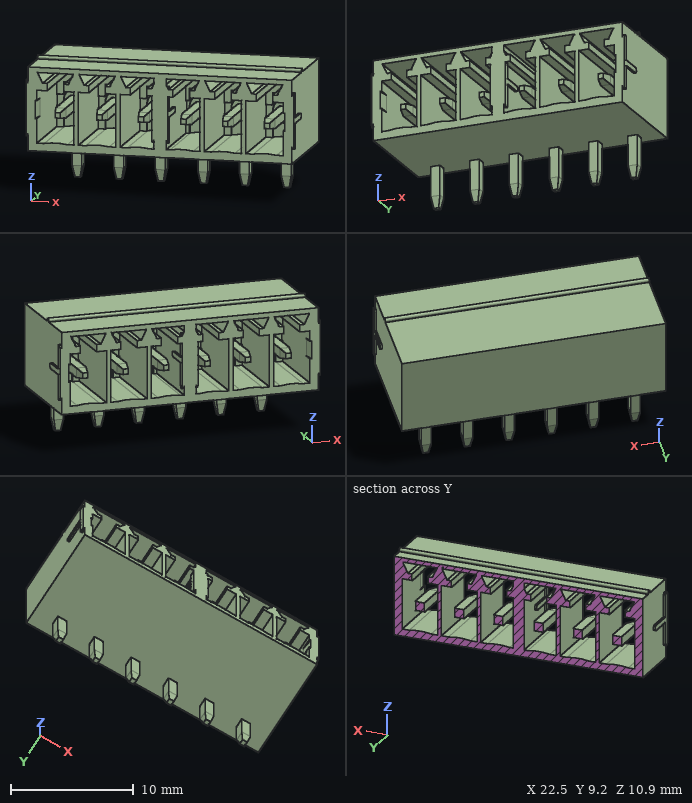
import cadquery as cq

total_width = 22.5
key_height = 0.15
module_spacing = 10.58
module_width = total_width - 2 * key_height - module_spacing
depth = 9.2
height = 7.0
module_centres = (-module_spacing / 2, module_spacing / 2)

poles = 3
pole_span = 7.0
pitch = pole_span / (poles - 1)
pole_offsets = [pitch * (i - (poles - 1) / 2) for i in range(poles)]
contact_z = 2.9

cavity_width = 3.13
cavity_depth = 6.75
floor_z = 0.68
shoulder_z = 5.08
neck_width = 1.4
dovetail_z = 5.7
dovetail_bottom_width = 2.14
dovetail_top_width = 3.02
ceiling_z = 6.57
floor_rise = 0.1

collar_diameter = 2.0
strip_width = 1.95
recess_depth = 0.22
recess_top_z = 4.4
arm_height = 0.97
cross_fillet = 0.1
collar_height = recess_depth / 2

lead_in_bottom_z = 2.72
lead_in_height = 1.48
lead_in_depth = 0.14
lead_in_length = 0.97

key_width = 0.47
key_centre_z = 3.55
key_bar_length = 4.72
key_stem_reach = 2.52

ridge_width = 0.35
ridge_height = 0.3
ridge_y = 3.42

pin_size = 0.83
pin_tip_size = 0.45
pin_taper_length = 1.01
pin_length_below = 3.6
pin_leg_inset = 1.45
pin_leg_y = depth - pin_leg_inset
pin_front_y = 0.83


def box(x0, x1, y0, y1, z0, z1):
    """Box between two corners."""
    return cq.Workplane("XY").box(x1 - x0, y1 - y0, z1 - z0, centered=False).translate((x0, y0, z0))


def facing_front(y):
    """Sketch plane at depth y, in X and Z; positive extrusions go toward the front."""
    return cq.Workplane("XZ", origin=(0, y, 0))


def arched_floor(y0, y1):
    """Shallow crowned strip that lies on the cavity floor."""
    half = strip_width / 2
    return (
        facing_front(y0)
        .moveTo(-half, floor_z)
        .threePointArc((0, floor_z + floor_rise), (half, floor_z))
        .lineTo(half, 0)
        .lineTo(-half, 0)
        .close()
        .extrude(y0 - y1)
    )


def make_cross(recess_y):
    """Cross-shaped recess with rounded inner corners."""
    half_strip = strip_width / 2
    arm_bottom_z = contact_z - arm_height / 2
    arm_top_z = contact_z + arm_height / 2
    upright = box(-half_strip, half_strip, cavity_depth, recess_y, floor_z, recess_top_z)
    arms = box(-cavity_width / 2, cavity_width / 2, cavity_depth, recess_y, arm_bottom_z, arm_top_z)
    margin = 0.02
    inner_corners = cq.selectors.BoxSelector(
        (-half_strip - margin, cavity_depth, arm_bottom_z - margin),
        (half_strip + margin, recess_y, arm_top_z + margin),
    )
    return upright.union(arms).edges("|Y").edges(inner_corners).fillet(cross_fillet)


def make_cavity():
    """Empty space of one pole, centred on X = 0."""
    half_outline = [
        (cavity_width / 2, floor_z),
        (cavity_width / 2, shoulder_z),
        (neck_width / 2, shoulder_z),
        (neck_width / 2, dovetail_z),
        (dovetail_bottom_width / 2, dovetail_z),
        (dovetail_top_width / 2, ceiling_z),
    ]
    mirrored = [(-x, z) for x, z in reversed(half_outline)]
    cavity = facing_front(0).polyline(half_outline + mirrored).close().extrude(-cavity_depth)

    recess_y = cavity_depth + recess_depth
    collar = (
        facing_front(recess_y)
        .center(0, contact_z)
        .circle(collar_diameter / 2)
        .extrude(collar_height)
    )
    return cavity.union(make_cross(recess_y)).cut(collar).cut(arched_floor(0, recess_y))


def make_lead_ins():
    """Wedges that widen the two outer cavities of a module at the front."""
    wall_x = pole_span / 2 + cavity_width / 2
    wedge = (
        cq.Workplane("XY", origin=(0, 0, lead_in_bottom_z))
        .polyline([(wall_x, 0), (wall_x + lead_in_depth, 0), (wall_x, lead_in_length)])
        .close()
        .extrude(lead_in_height)
    )
    return wedge.union(wedge.mirror("YZ"))


def make_keys():
    """T-shaped keys on both sides of a module, flush with the front face."""
    key_span = module_width + 2 * key_height
    side = cq.Workplane("YZ", origin=(-key_span / 2, 0, key_centre_z))
    bar = side.center(key_width / 2, 0).slot2D(key_bar_length, key_width, 90).extrude(key_span)
    stem = side.center(key_stem_reach / 2, 0).slot2D(key_stem_reach, key_width).extrude(key_span)
    return bar.union(stem)


def make_ridge():
    """Round-topped ridge across the top of a module."""
    radius = ridge_width / 2
    spring_z = height + ridge_height - radius
    return (
        cq.Workplane("YZ", origin=(-module_width / 2, 0, 0))
        .moveTo(ridge_y - radius, height)
        .lineTo(ridge_y - radius, spring_z)
        .threePointArc((ridge_y, height + ridge_height), (ridge_y + radius, spring_z))
        .lineTo(ridge_y + radius, height)
        .close()
        .extrude(module_width)
    )


def square_bar(length):
    """Square bar up the Z axis from a tapered tip at Z = 0."""
    tip = (
        cq.Workplane("XY")
        .rect(pin_tip_size, pin_tip_size)
        .workplane(offset=pin_taper_length)
        .rect(pin_size, pin_size)
        .loft(ruled=True)
    )
    shank = (
        cq.Workplane("XY", origin=(0, 0, pin_taper_length))
        .rect(pin_size, pin_size)
        .extrude(length - pin_taper_length)
    )
    return tip.union(shank)


def make_pin():
    """Pin bent at a right angle: contact toward the front, leg downward."""
    leg = square_bar(pin_length_below + contact_z + pin_size / 2)
    leg = leg.translate((0, pin_leg_y, -pin_length_below))
    contact = square_bar(pin_leg_y - pin_front_y).rotate((0, 0, 0), (1, 0, 0), -90)
    return leg.union(contact.translate((0, pin_front_y, contact_z)))


def make_module():
    """One three-pole header, centred on X = 0."""
    half = module_width / 2
    module = box(-half, half, 0, depth, 0, height).union(make_keys()).union(make_ridge())
    cavity = make_cavity()
    for x in pole_offsets:
        module = module.cut(cavity.translate((x, 0, 0)))
    module = module.cut(make_lead_ins())
    pin = make_pin()
    for x in pole_offsets:
        module = module.union(pin.translate((x, 0, 0)))
    return module


module = make_module()
left, right = [module.translate((x, 0, 0)) for x in module_centres]
result = left.union(right)